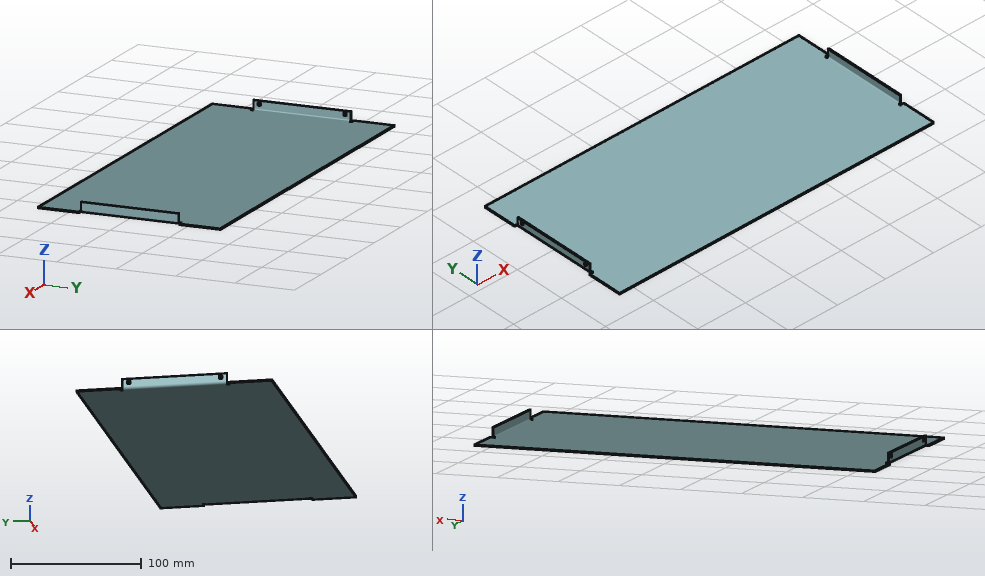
import cadquery as cq

plate_length = 327.52
plate_width = 153.0
overall_height = 8.5
sheet = 1.0
bend_inner_radius = 1.0
bend_outer_radius = bend_inner_radius + sheet

flange_width = 82.0
flange_setback = 1.5
flange_outer_x = plate_length / 2 - flange_setback
flange_inner_x = flange_outer_x - sheet
bend_start_x = flange_outer_x - bend_outer_radius

relief_width = 1.5
notch_width = flange_width + 2 * relief_width
notch_depth = flange_setback + bend_outer_radius

hole_diameter = 2.5
hole_edge_distance = 5.0
hole_y = flange_width / 2 - hole_edge_distance
hole_height = 5.75


def make_plate():
    """Flat plate with an end notch reaching back to each bend line."""
    plate = cq.Workplane("XY").rect(plate_length, plate_width).extrude(sheet)
    notch_x = plate_length / 2 - notch_depth / 2
    notches = (
        cq.Workplane("XY")
        .pushPoints([(-notch_x, 0), (notch_x, 0)])
        .rect(notch_depth, notch_width)
        .extrude(sheet)
    )
    return plate.cut(notches)


def make_flange():
    """Bend and upright wall at the +X end."""
    return (
        cq.Workplane("XZ")
        .moveTo(bend_start_x, 0)
        .radiusArc((flange_outer_x, bend_outer_radius), -bend_outer_radius)
        .lineTo(flange_outer_x, overall_height)
        .lineTo(flange_inner_x, overall_height)
        .lineTo(flange_inner_x, bend_outer_radius)
        .radiusArc((bend_start_x, sheet), bend_inner_radius)
        .close()
        .extrude(flange_width / 2, both=True)
    )


def make_fixing_holes():
    """Pair of cylinders that pass through the -X flange wall."""
    return (
        cq.Workplane("YZ", origin=(-flange_outer_x, 0, 0))
        .pushPoints([(-hole_y, hole_height), (hole_y, hole_height)])
        .circle(hole_diameter / 2)
        .extrude(sheet)
    )


plain_flange = make_flange()
drilled_flange = plain_flange.mirror("YZ").cut(make_fixing_holes())
result = make_plate().union(plain_flange).union(drilled_flange)